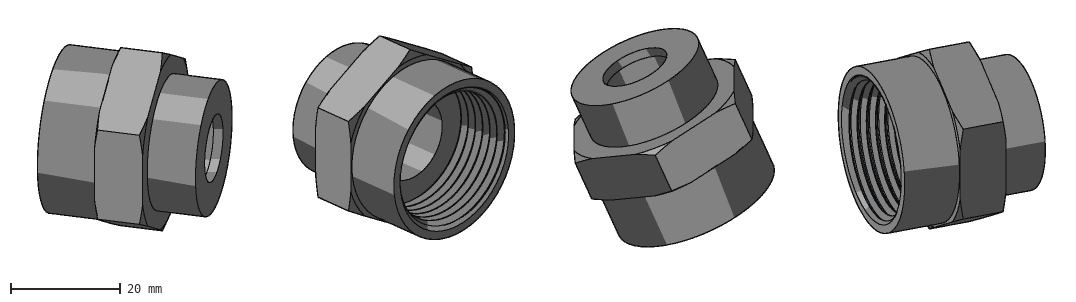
import cadquery as cq
import math

hex_corner_width = 36.72
collar_diameter = 31.2
collar_length = 10.95
hex_length = 9.18
tail_diameter = 25.4
tail_length = 9.18
total_length = collar_length + hex_length + tail_length

hex_chamfer_diameter = 33.35
hex_chamfer_angle = 20.0

passage_diameter = 15.75
outlet_diameter = 12.7
outlet_lip_length = 1.85

socket_depth = 11.13
mouth_crest_radius = 12.7
taper_angle = math.degrees(math.atan(1 / 32))
thread_pitch = 1.815
thread_depth = 1.1
root_flat = 0.25
crest_flat = 0.1
thread_phase = 113.0
thread_runout = 3.12
mouth_chamfer_diameter = 27.98
mouth_chamfer_length = 1.47

groove_reach = 1.1


def rod(diameter, start, length):
    """Solid cylinder along X."""
    return cq.Workplane("YZ", origin=(start, 0, 0)).circle(diameter / 2).extrude(length)


def revolve_about_x(points):
    """Solid turned about the X axis from (x, radius) points."""
    return cq.Workplane("XY").polyline(points).close().revolve(360, (0, 0, 0), (1, 0, 0))


def crest_radius(x):
    """Radius of the thread crests, which narrow away from the mouth."""
    return mouth_crest_radius - x * math.tan(math.radians(taper_angle))


def chamfered_hexagon():
    hexagon = (
        cq.Workplane("YZ", origin=(collar_length, 0, 0))
        .transformed(rotate=(0, 0, 90))
        .polygon(6, hex_corner_width)
        .extrude(hex_length)
    )
    face_radius = hex_chamfer_diameter / 2
    corner_radius = hex_corner_width / 2
    chamfer_length = (corner_radius - face_radius) * math.tan(math.radians(hex_chamfer_angle))
    start = collar_length
    end = collar_length + hex_length
    envelope = revolve_about_x([
        (start, 0),
        (start, face_radius),
        (start + chamfer_length, corner_radius),
        (end - chamfer_length, corner_radius),
        (end, face_radius),
        (end, 0),
    ])
    return hexagon.intersect(envelope)


def thread_groove():
    """Conical helical V groove, run past both ends of the socket and trimmed to its depth."""
    first_x = socket_depth + thread_runout
    run_length = first_x + thread_pitch
    start_radius = crest_radius(first_x)
    helix = cq.Wire.makeHelix(thread_pitch, run_length, start_radius, angle=taper_angle)
    mouth_half = (thread_pitch - crest_flat) / 2
    profile = cq.Workplane("XZ").polyline([
        (start_radius - groove_reach, -mouth_half),
        (start_radius, -mouth_half),
        (start_radius + thread_depth, -root_flat / 2),
        (start_radius + thread_depth, root_flat / 2),
        (start_radius, mouth_half),
        (start_radius - groove_reach, mouth_half),
    ]).close()
    groove = profile.sweep(cq.Workplane(helix), isFrenet=True)
    groove = groove.rotate((0, 0, 0), (0, 0, 1), thread_phase)
    groove = groove.rotate((0, 0, 0), (0, 1, 0), -90).translate((first_x, 0, 0))
    return groove.intersect(rod(collar_diameter, 0, socket_depth))


def tapered_bore():
    """Bore through the thread crests, with the chamfered mouth."""
    return revolve_about_x([
        (0, 0),
        (0, mouth_chamfer_diameter / 2),
        (mouth_chamfer_length, crest_radius(mouth_chamfer_length)),
        (socket_depth, crest_radius(socket_depth)),
        (socket_depth, 0),
    ])


collar = rod(collar_diameter, 0, collar_length)
tail = rod(tail_diameter, collar_length + hex_length, tail_length)
body = collar.union(chamfered_hexagon()).union(tail)

passage = rod(passage_diameter, socket_depth, total_length - outlet_lip_length - socket_depth)
outlet = rod(outlet_diameter, 0, total_length)

result = body.cut(thread_groove()).cut(tapered_bore()).cut(passage).cut(outlet)